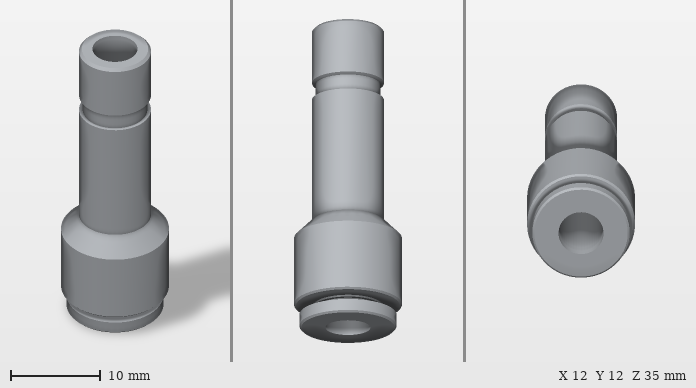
import cadquery as cq

total_height = 35.0
ring_height = 1.5
body_bottom = 2.52
body_top = 10.5
cone_top = 12.5
groove_bottom = 26.75
groove_top = 28.52

ring_diameter = 10.8
neck_diameter = 7.0
neck_foot_diameter = 7.2
collar_diameter = 7.8
body_diameter = 12.0
stem_diameter = 8.0
groove_diameter = 7.2
bore_diameter = 5.0

edge_chamfer = 0.2
tip_chamfer = 0.3
neck_foot_height = 0.2
collar_height = 0.2
groove_taper_height = 0.2


def cylinder(diameter, bottom, top):
    """Solid cylinder on the Z axis between two heights."""
    return cq.Workplane("XY").workplane(offset=bottom).circle(diameter / 2).extrude(top - bottom)


def cone(bottom_diameter, top_diameter, bottom, top):
    """Solid truncated cone on the Z axis between two heights."""
    return (
        cq.Workplane("XY")
        .workplane(offset=bottom)
        .circle(bottom_diameter / 2)
        .workplane(offset=top - bottom)
        .circle(top_diameter / 2)
        .loft()
    )


ring = cylinder(ring_diameter, 0, ring_height).faces("<Z").chamfer(edge_chamfer)
neck_foot = cone(neck_foot_diameter, neck_diameter, ring_height, ring_height + neck_foot_height)
neck = cylinder(neck_diameter, ring_height, body_bottom)
release_ring = ring.union(neck_foot).union(neck)

collar = cylinder(collar_diameter, body_bottom - collar_height, body_bottom)
barrel = cylinder(body_diameter, body_bottom, body_top).faces("<Z").chamfer(edge_chamfer)
shoulder = cone(body_diameter, stem_diameter, body_top, cone_top)
body = collar.union(barrel).union(shoulder)

taper_top = groove_top + groove_taper_height
shank = cylinder(stem_diameter, cone_top, groove_bottom)
groove_core = cylinder(groove_diameter, groove_bottom, groove_top)
groove_taper = cone(groove_diameter, stem_diameter, groove_top, taper_top)
tip = cylinder(stem_diameter, taper_top, total_height).faces(">Z").chamfer(tip_chamfer)
stem = shank.union(groove_core).union(groove_taper).union(tip)

bore = cylinder(bore_diameter, 0, total_height)

result = release_ring.union(body).union(stem).cut(bore)